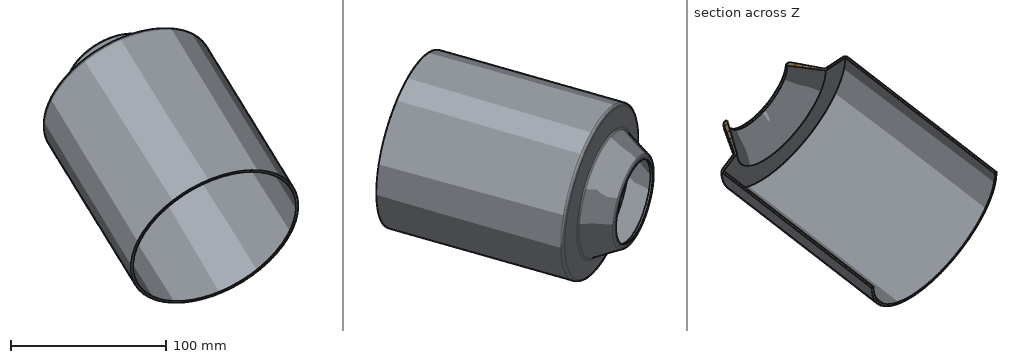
import cadquery as cq
import math

length = 155.3
outer_radius = 119.6 / 2
shell_bore_radius = 116.0 / 2
mouth_bore_radius = 57.0 / 2
wall = outer_radius - shell_bore_radius

neck_base_radius = 31.5
neck_angle = math.radians(30)
shoulder_angle = math.radians(80)
neck_end_x = 20.7
edge_round = 2.0
mouth_bore_length = 1.5

neck_end_radius = neck_base_radius + neck_end_x * math.tan(neck_angle)
shoulder_end_x = neck_end_x + (outer_radius - neck_end_radius) / math.tan(shoulder_angle)

inner_shoulder_shift = wall / math.sin(shoulder_angle)
neck_wall_drop = wall / math.cos(neck_angle)
corner_shift = (inner_shoulder_shift * math.tan(shoulder_angle) - neck_wall_drop) / (
    math.tan(shoulder_angle) - math.tan(neck_angle)
)
inner_neck_end_x = neck_end_x + corner_shift
inner_neck_end_radius = (
    neck_end_radius + corner_shift * math.tan(neck_angle) - neck_wall_drop
)
inner_shoulder_end_x = (
    shoulder_end_x + inner_shoulder_shift - wall / math.tan(shoulder_angle)
)


def revolve_profile(points):
    """Turn a closed (x, radius) outline about the X axis."""
    return cq.Workplane("XY").polyline(points).close().revolve(360, (0, 0, 0), (1, 0, 0))


def make_body():
    """Solid outer form with rounded mouth, neck corner and shoulder."""
    body = revolve_profile([
        (0, 0),
        (0, neck_base_radius),
        (neck_end_x, neck_end_radius),
        (shoulder_end_x, outer_radius),
        (length, outer_radius),
        (length, 0),
    ])
    return body.edges("%CIRCLE").edges("not(>X)").fillet(edge_round)


def make_cavity():
    """Through cavity: mouth bore, inner cones and the open shell bore."""
    return revolve_profile([
        (0, 0),
        (0, mouth_bore_radius),
        (mouth_bore_length, mouth_bore_radius),
        (inner_neck_end_x, inner_neck_end_radius),
        (inner_shoulder_end_x, shell_bore_radius),
        (length, shell_bore_radius),
        (length, 0),
    ])


result = make_body().cut(make_cavity())